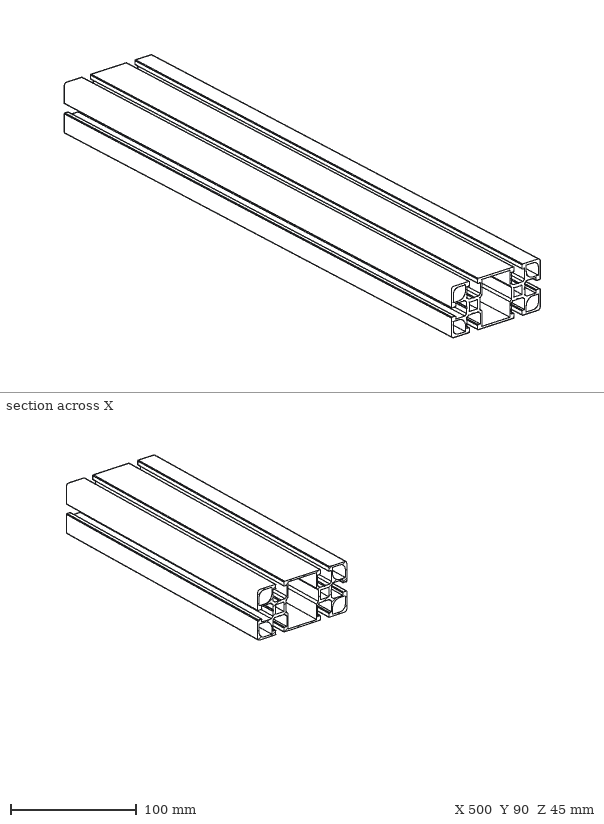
import cadquery as cq

length = 500.0
module = 45.0
width = 2 * module
height = module
corner_radius = 2.5

mouth_width = 8.0
lip_chamfer = 0.6
slot_width = 13.5
lip_depth = 4.5
slot_depth = 15.5
slot_corner_chamfer = 1.75
groove_width = 1.75
groove_depth = 0.5

skin = 2.0
web = 1.5
core_wall = 2.5
core_hole = 8.0
shoulder_height = 2.0
cell_outer_radius = 5.0
cell_inner_radius = 7.0

slot_y = module / 2
half_slot = slot_width / 2


def extrude_along_x(sketch):
    return sketch.extrude(length / 2, both=True)


def section():
    """YZ sketch plane through the middle of the length."""
    return cq.Workplane("YZ")


def block(y_size, z_size, y_center=0.0, z_center=0.0):
    return extrude_along_x(section().center(y_center, z_center).rect(y_size, z_size))


def t_slot():
    """Cutter for a slot opening upward, with its mouth on the line z = 0."""
    half_mouth = mouth_width / 2
    half_floor = half_slot - slot_corner_chamfer
    right_side = [
        (half_mouth + lip_chamfer, 0),
        (half_mouth, -lip_chamfer),
        (half_mouth, -lip_depth + lip_chamfer),
        (half_mouth + lip_chamfer, -lip_depth),
        (half_slot, -lip_depth),
        (half_slot, -slot_depth + slot_corner_chamfer),
        (half_floor, -slot_depth),
        (groove_width / 2, -slot_depth),
        (0, -slot_depth - groove_depth),
    ]
    left_side = [(-y, z) for y, z in reversed(right_side[:-1])]
    return extrude_along_x(section().polyline(right_side + left_side).close())


def corner_cell():
    """Hollow of the corner tube on the +Y, +Z side."""
    y_inner = slot_y + half_slot + web
    y_outer = width / 2 - skin
    z_inner = half_slot + web
    z_outer = height / 2 - skin
    cell = block(
        y_outer - y_inner,
        z_outer - z_inner,
        (y_inner + y_outer) / 2,
        (z_inner + z_outer) / 2,
    )
    cell = cell.edges("|X and >Y and >Z").fillet(cell_outer_radius)
    return cell.edges("|X and <Y and <Z").fillet(cell_inner_radius)


def central_chamber():
    """Tall middle hollow, widened through sloped shoulders where it passes the slot cores."""
    tall_half_width = slot_y - half_slot - web
    wide_half_width = slot_y - core_hole / 2 - core_wall
    shoulder_top = height / 2 - slot_depth
    shoulder_bottom = shoulder_top - shoulder_height
    tall = block(2 * tall_half_width, height - 2 * skin)
    right_side = [
        (tall_half_width, shoulder_top),
        (wide_half_width, shoulder_bottom),
        (wide_half_width, -shoulder_bottom),
        (tall_half_width, -shoulder_top),
    ]
    left_side = [(-y, -z) for y, z in right_side]
    return tall.union(extrude_along_x(section().polyline(right_side + left_side).close()))


profile = block(width, height).edges("|X").fillet(corner_radius)
profile = profile.cut(central_chamber())

top_slot = t_slot().translate((0, slot_y, height / 2))
side_slot = t_slot().rotate((0, 0, 0), (1, 0, 0), -90).translate((0, width / 2, 0))
cell = corner_cell()
for turn in (0, 180):
    profile = profile.cut(side_slot.rotate((0, 0, 0), (1, 0, 0), turn))
    for cutter in (top_slot, cell):
        turned = cutter.rotate((0, 0, 0), (1, 0, 0), turn)
        profile = profile.cut(turned).cut(turned.mirror("XZ"))
for side in (-1, 1):
    profile = profile.cut(block(core_hole, core_hole, side * slot_y))

result = profile